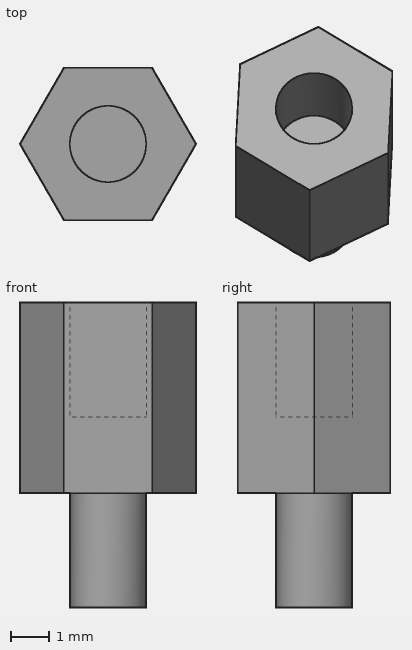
import cadquery as cq
import math

across_flats = 4.0
body_height = 5.0
thread_diameter = 2.0
stud_length = 3.0
hole_depth = stud_length

across_corners = across_flats / math.cos(math.radians(30))


def hex_body():
    """Hexagonal prism standing on Z = 0, with corners on the X axis."""
    return cq.Workplane("XY").polygon(6, across_corners).extrude(body_height)


def stud():
    """Round stud hanging below the body."""
    return cq.Workplane("XY").circle(thread_diameter / 2).extrude(-stud_length)


def blind_hole():
    """Flat-bottomed hole going down from the top face."""
    top = cq.Workplane("XY").workplane(offset=body_height)
    return top.circle(thread_diameter / 2).extrude(-hole_depth)


result = hex_body().union(stud()).cut(blind_hole())